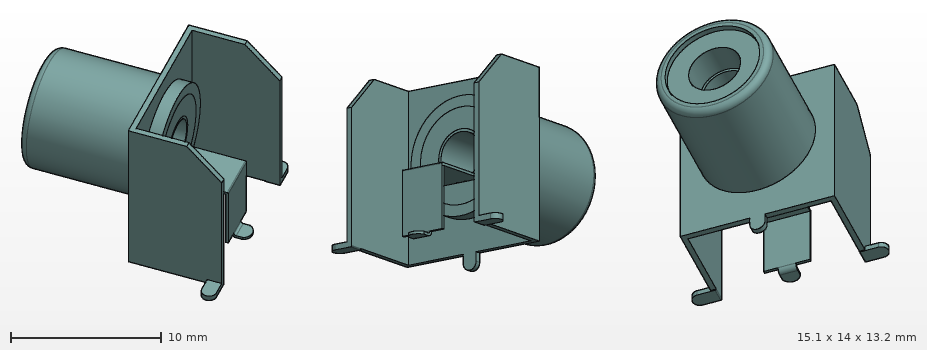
import cadquery as cq
import math

OVERALL_LENGTH = 15.05
SLEEVE_LENGTH = 9.69

SLEEVE_RADIUS = 4.15
SLEEVE_BORE_RADIUS = 3.37
MOUTH_FILLET = 0.5
INSULATOR_RECESS = 0.4
CONTACT_THICKNESS = 0.2
CONTACT_BORE_RADIUS = 1.65
CONTACT_OUTER_RADIUS = CONTACT_BORE_RADIUS + CONTACT_THICKNESS

BRACKET_FRONT = 8.32
BRACKET_REAR = 15.0
BRACKET_HALF_WIDTH = 5.51
BRACKET_TOP = 5.5
BRACKET_BOTTOM = -6.52
SHEET = 0.4
SLOPE_START_X = 12.5
SLOPE_END_Z = 3.01

PIN_WIDTH = 1.08
PIN_TIP_Z = -7.7
TAB_WIDTH = 1.05
TAB_REACH = 7.0
BOARD_Z = -6.6
TAB_BEND_RADIUS = 0.08

TUBE_FRONT = 2.59
TAIL_REAR = 13.97
TAIL_BEND_INNER_RADIUS = 0.17
TAIL_TOP_BEND_RADIUS = 0.08
FOOT_WIDTH = 1.28
FOOT_TIP_HEIGHT = 0.42


def x_cylinder(radius, start, end):
    """Solid cylinder on the X axis between two stations."""
    return cq.Workplane("YZ", origin=(start, 0, 0)).circle(radius).extrude(end - start)


def make_sleeve():
    """Metal sleeve with a rounded mouth."""
    body = x_cylinder(SLEEVE_RADIUS, 0, SLEEVE_LENGTH).faces("<X").edges().fillet(MOUTH_FILLET)
    return body.cut(x_cylinder(SLEEVE_BORE_RADIUS, 0, SLEEVE_LENGTH))


def make_insulator():
    """Bored plug, set back slightly from the mouth of the sleeve."""
    plug = x_cylinder(SLEEVE_BORE_RADIUS, INSULATOR_RECESS, SLEEVE_LENGTH)
    return plug.cut(x_cylinder(CONTACT_OUTER_RADIUS, INSULATOR_RECESS, SLEEVE_LENGTH))


def make_tab(side):
    """Round-ended solder tab folded outward from one wall; side is -1 or 1."""
    tip_radius = TAB_WIDTH / 2
    inner_y = side * (BRACKET_HALF_WIDTH - SHEET)
    arc_y = side * (TAB_REACH - tip_radius)
    front_x = BRACKET_REAR - TAB_WIDTH
    tab = (
        cq.Workplane("XY", origin=(0, 0, BOARD_Z))
        .moveTo(front_x, inner_y)
        .lineTo(front_x, arc_y)
        .threePointArc((front_x + tip_radius, side * TAB_REACH), (BRACKET_REAR, arc_y))
        .lineTo(BRACKET_REAR, inner_y)
        .close()
        .extrude(SHEET)
    )
    inner_face = ">Y" if side < 0 else "<Y"
    return tab.faces(inner_face).edges("<Z").fillet(TAB_BEND_RADIUS)


def make_pin():
    """Round-ended pin hanging from the front plate."""
    radius = PIN_WIDTH / 2
    arc_z = PIN_TIP_Z + radius
    return (
        cq.Workplane("YZ", origin=(BRACKET_FRONT, 0, 0))
        .moveTo(-radius, BRACKET_BOTTOM)
        .lineTo(-radius, arc_z)
        .threePointArc((0, PIN_TIP_Z), (radius, arc_z))
        .lineTo(radius, BRACKET_BOTTOM)
        .close()
        .extrude(SHEET)
    )


def make_bracket():
    """U-shaped sheet bracket with sloped walls, a front pin and two side tabs."""
    outline = [
        (BRACKET_FRONT, BRACKET_BOTTOM),
        (BRACKET_FRONT, BRACKET_TOP),
        (SLOPE_START_X, BRACKET_TOP),
        (BRACKET_REAR, SLOPE_END_Z),
        (BRACKET_REAR, BRACKET_BOTTOM),
    ]
    bracket = cq.Workplane("XZ").polyline(outline).close().extrude(BRACKET_HALF_WIDTH, both=True)
    interior = cq.Workplane("XY").box(
        BRACKET_REAR - BRACKET_FRONT - SHEET,
        2 * (BRACKET_HALF_WIDTH - SHEET),
        BRACKET_TOP - BRACKET_BOTTOM,
        centered=(False, True, False),
    ).translate((BRACKET_FRONT + SHEET, 0, BRACKET_BOTTOM))
    bracket = bracket.cut(interior)
    bracket = bracket.cut(x_cylinder(SLEEVE_RADIUS, BRACKET_FRONT, BRACKET_FRONT + SHEET))
    bracket = bracket.union(make_pin())
    for side in (-1, 1):
        bracket = bracket.union(make_tab(side))
    return bracket


def make_foot():
    """Narrow foot curving out of the tail, with an arched tip."""
    inner = TAIL_BEND_INNER_RADIUS
    outer = inner + CONTACT_THICKNESS
    diagonal = math.sqrt(0.5)
    center_x = TAIL_REAR + inner
    center_z = BOARD_Z + outer
    profile = (
        cq.Workplane("XZ")
        .moveTo(center_x - outer, center_z)
        .threePointArc((center_x - outer * diagonal, center_z - outer * diagonal), (center_x, BOARD_Z))
        .lineTo(OVERALL_LENGTH, BOARD_Z)
        .lineTo(OVERALL_LENGTH, BOARD_Z + CONTACT_THICKNESS)
        .lineTo(center_x, BOARD_Z + CONTACT_THICKNESS)
        .threePointArc((center_x - inner * diagonal, center_z - inner * diagonal), (TAIL_REAR, center_z))
        .close()
        .extrude(FOOT_WIDTH / 2, both=True)
    )
    half = FOOT_WIDTH / 2
    start_x = TAIL_REAR - CONTACT_THICKNESS
    arc_x = OVERALL_LENGTH - FOOT_TIP_HEIGHT
    plan = (
        cq.Workplane("XY", origin=(0, 0, BOARD_Z))
        .moveTo(start_x, -half)
        .lineTo(arc_x, -half)
        .threePointArc((OVERALL_LENGTH, 0), (arc_x, half))
        .lineTo(start_x, half)
        .close()
        .extrude(outer)
    )
    return profile.intersect(plan)


def make_contact():
    """Contact tube with a strip running back, down and out into a foot."""
    tube = x_cylinder(CONTACT_OUTER_RADIUS, TUBE_FRONT, SLEEVE_LENGTH)
    tube = tube.cut(x_cylinder(CONTACT_BORE_RADIUS, TUBE_FRONT, SLEEVE_LENGTH))
    strip_top = -CONTACT_BORE_RADIUS
    strip_bottom = -CONTACT_OUTER_RADIUS
    tail_bottom = BOARD_Z + TAIL_BEND_INNER_RADIUS + CONTACT_THICKNESS
    strip = (
        cq.Workplane("XZ")
        .moveTo(SLEEVE_LENGTH, strip_top)
        .lineTo(TAIL_REAR, strip_top)
        .lineTo(TAIL_REAR, tail_bottom)
        .lineTo(TAIL_REAR - CONTACT_THICKNESS, tail_bottom)
        .lineTo(TAIL_REAR - CONTACT_THICKNESS, strip_bottom)
        .lineTo(SLEEVE_LENGTH, strip_bottom)
        .close()
        .extrude(CONTACT_BORE_RADIUS, both=True)
    )
    strip = strip.faces(">X").edges(">Z").fillet(TAIL_TOP_BEND_RADIUS)
    return tube.union(strip).union(make_foot())


sleeve = make_sleeve()
insulator = make_insulator()
bracket = make_bracket()
contact = make_contact()

result = cq.Compound.makeCompound(
    [body.solids().val() for body in (sleeve, insulator, bracket, contact)]
)